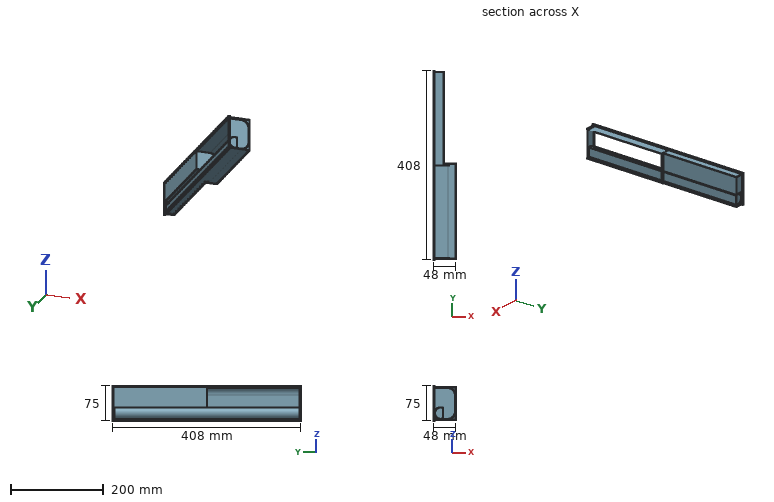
import cadquery as cq

length = 408.0
height = 75.0
plate_thickness = 2.0
plate_overhang = 2.0

total_depth = 48.0
shallow_depth = 22.0
deep_box_end_y = 4.0
wall = 2.0
box_length = length - 2 * plate_overhang
box_height = height - 2 * plate_overhang

inner_end_y = box_length / 2 - wall
floor_z = -box_height / 2 + wall
ceiling_z = -floor_z
deep_pocket_end_y = 0.0
pocket_fillet = 15.0

bar_diameter = 25.0
bar_axis_x = 14.5
slot_depth = shallow_depth - wall
slot_top_z = floor_z + bar_diameter


def block(x_range, y_range, z_range):
    """Rectangular block between the given limits."""
    (x0, x1), (y0, y1), (z0, z1) = x_range, y_range, z_range
    return cq.Workplane("XY").box(x1 - x0, y1 - y0, z1 - z0, centered=False).translate((x0, y0, z0))


def make_shell():
    """Flanged plate and stepped box, before the openings are cut."""
    box_y = (-box_length / 2, box_length / 2)
    box_z = (-box_height / 2, box_height / 2)
    plate = block((0, plate_thickness), (-length / 2, length / 2), (-height / 2, height / 2))
    shallow_box = block((0, shallow_depth), box_y, box_z)
    deep_box = block((0, total_depth), (box_y[0], deep_box_end_y), box_z)
    return plate.union(shallow_box).union(deep_box)


def make_deep_pocket():
    """Pocket at the -Y end, rounded where its ceiling and floor meet the back wall."""
    pocket = block((0, total_depth - wall), (-inner_end_y, deep_pocket_end_y), (floor_z, ceiling_z))
    return pocket.edges(">X and |Y").fillet(pocket_fillet)


def make_slot():
    """Full-length slot open to -X."""
    return block((0, slot_depth), (-inner_end_y, inner_end_y), (floor_z, slot_top_z))


def make_bar(slot):
    """Round bar touching the slot's floor and top, trimmed to the slot."""
    bar_axis_z = floor_z + bar_diameter / 2
    cylinder = (
        cq.Workplane("XZ", origin=(bar_axis_x, inner_end_y, bar_axis_z))
        .circle(bar_diameter / 2)
        .extrude(2 * inner_end_y)
    )
    return cylinder.intersect(slot)


slot = make_slot()
housing = make_shell().cut(make_deep_pocket()).cut(slot)
bar = make_bar(slot)
result = cq.Compound.makeCompound([housing.val(), bar.val()])